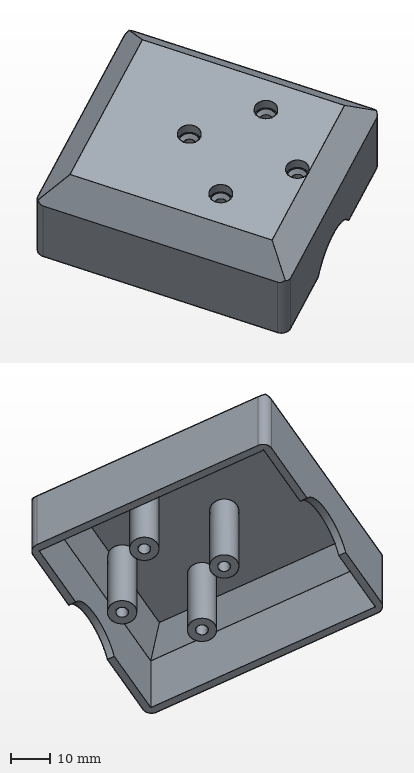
import cadquery as cq
import math

LENGTH = 70.0
WIDTH = 62.0
HEIGHT = 27.5
CORNER_RADIUS = 2.5
TOP_BEVEL = 7.0

WALL = 2.0

ARCH_SPAN = 20.0
ARCH_RISE = 6.1

SCREW_COUNT = 4
SCREW_CIRCLE_X = 10.0
SCREW_CIRCLE_RADIUS = 15.0
BOSS_DIAMETER = 7.5
BOSS_BOTTOM = 2.0

HOLE_DIAMETER = 3.2
HEAD_DIAMETER = 6.0
HEAD_BORE_DEPTH = 3.0
SEAT_DIAMETER = 5.3
SEAT_DEPTH = (SEAT_DIAMETER - HOLE_DIAMETER) / 2


def bevelled_box(length, width, height, bevel):
    """Box standing on Z = 0 with a 45 degree bevel all round its top."""
    box = cq.Workplane("XY").box(length, width, height, centered=(True, True, False))
    return box.faces(">Z").chamfer(bevel)


def make_cover():
    """Solid bevelled block with rounded upright corners."""
    rounded = (
        cq.Workplane("XY")
        .box(LENGTH, WIDTH, HEIGHT, centered=(True, True, False))
        .edges("|Z")
        .fillet(CORNER_RADIUS)
    )
    return bevelled_box(LENGTH, WIDTH, HEIGHT, TOP_BEVEL).intersect(rounded)


def make_cavity():
    """Hollow that follows the walls, the bevel and the roof at one wall thickness."""
    inner_bevel = TOP_BEVEL - WALL * (2 - math.sqrt(2))
    return bevelled_box(LENGTH - 2 * WALL, WIDTH - 2 * WALL, HEIGHT - WALL, inner_bevel)


def make_arch():
    """Cylinder along X whose top cuts an arch of the given span and rise."""
    radius = ((ARCH_SPAN / 2) ** 2 + ARCH_RISE**2) / (2 * ARCH_RISE)
    return (
        cq.Workplane("YZ")
        .center(0, ARCH_RISE - radius)
        .circle(radius)
        .extrude(LENGTH / 2, both=True)
    )


def screw_positions():
    """Centres of the screws in the XY plane."""
    step = 2 * math.pi / SCREW_COUNT
    return [
        (
            SCREW_CIRCLE_X + SCREW_CIRCLE_RADIUS * math.cos(index * step),
            SCREW_CIRCLE_RADIUS * math.sin(index * step),
        )
        for index in range(SCREW_COUNT)
    ]


def make_boss(x, y):
    """Post hanging from the roof, ending inside the roof so that the two merge."""
    boss_top = HEIGHT - WALL / 2
    return (
        cq.Workplane("XY", origin=(x, y, BOSS_BOTTOM))
        .circle(BOSS_DIAMETER / 2)
        .extrude(boss_top - BOSS_BOTTOM)
    )


def make_screw_hole(x, y):
    """Stepped hole right through the roof and boss, as a revolved half profile."""
    hole_radius = HOLE_DIAMETER / 2
    head_radius = HEAD_DIAMETER / 2
    ledge_level = HEIGHT - HEAD_BORE_DEPTH
    profile = (
        cq.Workplane("XZ", origin=(x, y, 0))
        .moveTo(0, 0)
        .lineTo(hole_radius, 0)
        .lineTo(hole_radius, ledge_level - SEAT_DEPTH)
        .lineTo(SEAT_DIAMETER / 2, ledge_level)
        .lineTo(head_radius, ledge_level)
        .lineTo(head_radius, HEIGHT)
        .lineTo(0, HEIGHT)
        .close()
    )
    return profile.revolve(360, (0, 0, 0), (0, 1, 0))


result = make_cover().cut(make_cavity()).cut(make_arch())
for screw_x, screw_y in screw_positions():
    result = result.union(make_boss(screw_x, screw_y))
    result = result.cut(make_screw_hole(screw_x, screw_y))